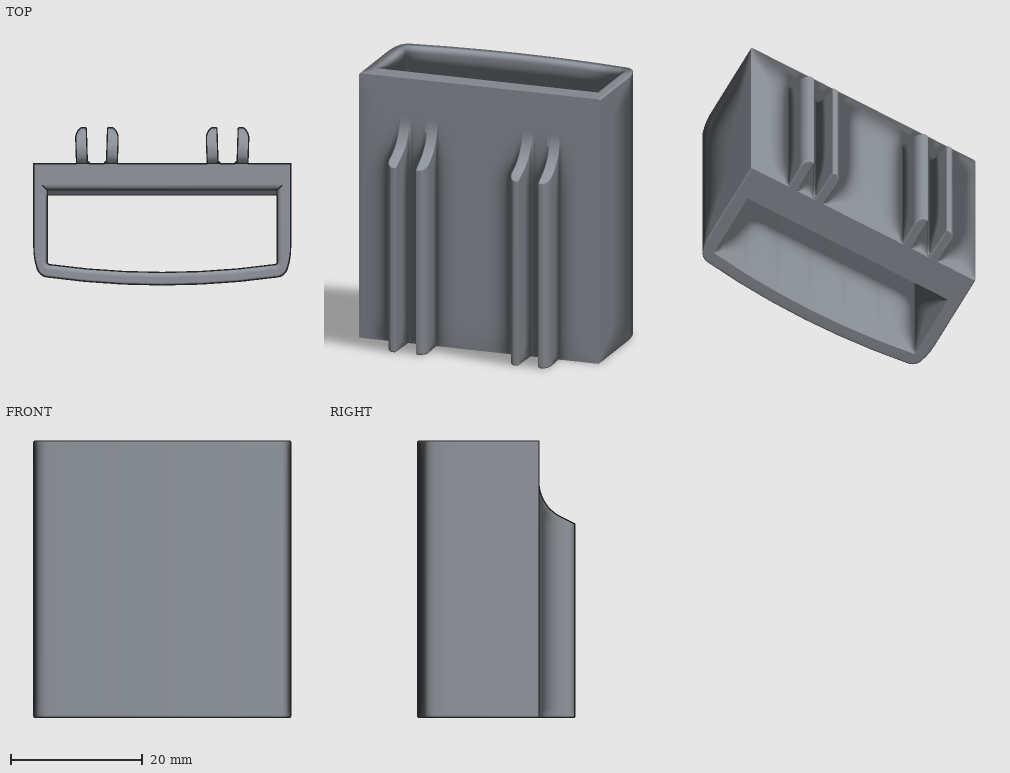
import cadquery as cq
import math

height = 42.0
width = 39.0
depth = 18.45
half_width = width / 2
front_radius = 126.0
front_half_span = 17.47
corner_radius = 1.85
cheek_radius = 10.5
edge_round = 0.3

wall = 2.05
front_wall = 1.95
back_wall = 4.05
cavity_corner_radius = 0.35
mouth_round = 0.85
ledge_depth = 0.75
ledge_height = 0.85

pair_offset = 9.9
prong_length = 5.45
prong_root_top = 35.75
prong_inner_root = 1.43
prong_inner_tip = 1.6
prong_outer_root = 3.1
prong_outer_barb = 3.25
barb_reach = 3.85
nose_end = 2.35
tip_round = 0.25
prong_edge_round = 0.2
root_fillet = 0.3
root_depth = 0.85
top_curve_reach = 3.25
top_slope = math.atan(0.5)


def body_outline():
    """Closed body profile built from arcs that meet tangentially."""
    front_centre_y = front_radius - depth
    front_angle = math.asin(front_half_span / front_radius)
    corner_x = (front_radius - corner_radius) * math.sin(front_angle)
    corner_y = front_centre_y - (front_radius - corner_radius) * math.cos(front_angle)
    cheek_x = half_width - cheek_radius
    cheek_angle = math.acos((corner_x - cheek_x) / (cheek_radius - corner_radius))
    cheek_y = corner_y + (cheek_radius - corner_radius) * math.sin(cheek_angle)

    front_end_y = front_centre_y - front_radius * math.cos(front_angle)
    bend_x = cheek_x + cheek_radius * math.cos(cheek_angle)
    bend_y = cheek_y - cheek_radius * math.sin(cheek_angle)
    cheek_mid_x = cheek_x + cheek_radius * math.cos(cheek_angle / 2)
    cheek_mid_y = cheek_y - cheek_radius * math.sin(cheek_angle / 2)
    corner_mid_angle = (cheek_angle + math.pi / 2 - front_angle) / 2
    corner_mid_x = corner_x + corner_radius * math.cos(corner_mid_angle)
    corner_mid_y = corner_y - corner_radius * math.sin(corner_mid_angle)

    return (
        cq.Workplane("XY")
        .moveTo(-half_width, 0)
        .lineTo(half_width, 0)
        .lineTo(half_width, cheek_y)
        .threePointArc((cheek_mid_x, cheek_mid_y), (bend_x, bend_y))
        .threePointArc((corner_mid_x, corner_mid_y), (front_half_span, front_end_y))
        .threePointArc((0, -depth), (-front_half_span, front_end_y))
        .threePointArc((-corner_mid_x, corner_mid_y), (-bend_x, bend_y))
        .threePointArc((-cheek_mid_x, cheek_mid_y), (-half_width, cheek_y))
        .close()
    )


def make_body():
    body = body_outline().extrude(height)
    return body.faces("<Z or >Z").edges("not(>Y)").fillet(edge_round)


def make_cavity():
    """Straight cavity with a bowed front wall."""
    cavity_half_width = half_width - wall
    cavity_radius = front_radius - front_wall
    sagitta = cavity_radius - math.sqrt(cavity_radius**2 - cavity_half_width**2)
    front_y = front_wall - depth
    return (
        cq.Workplane("XY")
        .moveTo(-cavity_half_width, -back_wall)
        .lineTo(cavity_half_width, -back_wall)
        .lineTo(cavity_half_width, front_y + sagitta)
        .threePointArc((0, front_y), (-cavity_half_width, front_y + sagitta))
        .close()
        .extrude(height)
        .edges("|Z")
        .edges("<Y")
        .fillet(cavity_corner_radius)
    )


def make_ledge():
    return (
        cq.Workplane("XY")
        .box(width - 2 * wall, ledge_depth, ledge_height, centered=(True, False, False))
        .translate((0, -back_wall - ledge_depth, 0))
    )


def prong_plan():
    """Upright prong seen along Z, at +X from the pair centre; the root is sunk into the body."""
    nose_width = prong_outer_barb - nose_end
    nose_length = prong_length - barb_reach
    nose_radius = (nose_width**2 + nose_length**2) / (2 * nose_width)
    nose_mid_angle = math.asin(nose_length / nose_radius) / 2
    nose_mid = (
        prong_outer_barb - nose_radius * (1 - math.cos(nose_mid_angle)),
        barb_reach + nose_radius * math.sin(nose_mid_angle),
    )
    return (
        cq.Workplane("XY")
        .moveTo(prong_inner_root, -root_depth)
        .lineTo(prong_outer_root, -root_depth)
        .lineTo(prong_outer_root, 0)
        .lineTo(prong_outer_barb, barb_reach)
        .threePointArc(nose_mid, (nose_end, prong_length))
        .lineTo(prong_inner_tip, prong_length)
        .lineTo(prong_inner_root, 0)
        .close()
    )


def prong_side():
    """Side outline of a prong: straight foot, sloping top that sweeps up to the back face."""
    curve_radius = top_curve_reach / (1 - math.cos(math.pi / 2 - top_slope))
    sweep = math.pi / 2 - top_slope
    curve_end_z = prong_root_top - curve_radius * math.sin(sweep)
    tip_z = curve_end_z - (prong_length - top_curve_reach) * math.tan(top_slope)
    curve_mid = (
        curve_radius * (1 - math.cos(sweep / 2)),
        prong_root_top - curve_radius * math.sin(sweep / 2),
    )
    return (
        cq.Workplane("YZ")
        .moveTo(-root_depth, 0)
        .lineTo(prong_length, 0)
        .lineTo(prong_length, tip_z)
        .lineTo(top_curve_reach, curve_end_z)
        .threePointArc(curve_mid, (0, prong_root_top))
        .lineTo(-root_depth, prong_root_top)
        .close()
    )


def make_root_fillet():
    """Concave strip in the corner between a prong's inner side and the back face."""
    bury_x = prong_inner_root + root_fillet
    strip = (
        cq.Workplane("XY")
        .workplane(offset=edge_round)
        .moveTo(bury_x, -root_depth)
        .lineTo(bury_x, root_fillet)
        .lineTo(prong_inner_root, root_fillet)
        .radiusArc((prong_inner_root - root_fillet, 0), -root_fillet)
        .lineTo(prong_inner_root - root_fillet, -root_depth)
        .close()
        .extrude(height)
    )
    envelope = prong_side().extrude(2 * prong_outer_barb, both=True)
    return strip.intersect(envelope.translate((0, 0, -prong_edge_round)))


def make_prong():
    upright = prong_plan().extrude(height)
    inner_tip = cq.selectors.NearestToPointSelector((prong_inner_tip, prong_length, height / 2))
    upright = upright.edges(inner_tip).fillet(tip_round)
    blade = upright.intersect(prong_side().extrude(2 * prong_outer_barb, both=True))
    blade = blade.faces("<Z").edges("not(<Y)").fillet(edge_round)
    top_edges = cq.selectors.BoxSelector(
        (0, 0.02, prong_root_top - 8.4), (2 * prong_outer_barb, prong_length - 0.02, prong_root_top)
    )
    blade = blade.edges(top_edges).edges("not(|X)").fillet(prong_edge_round)
    return blade.union(make_root_fillet())


body = make_body().cut(make_cavity())
mouth_edges = cq.selectors.BoxSelector(
    (wall / 2 - half_width, wall / 2 - depth, height - 0.4),
    (half_width - wall / 2, -back_wall / 2, height + 0.4),
    boundingbox=True,
)
body = body.edges(mouth_edges).fillet(mouth_round)
body = body.union(make_ledge())

prong = make_prong()
for centre in (-pair_offset, pair_offset):
    body = body.union(prong.translate((centre, 0, 0)))
    body = body.union(prong.mirror("YZ").translate((centre, 0, 0)))

result = body